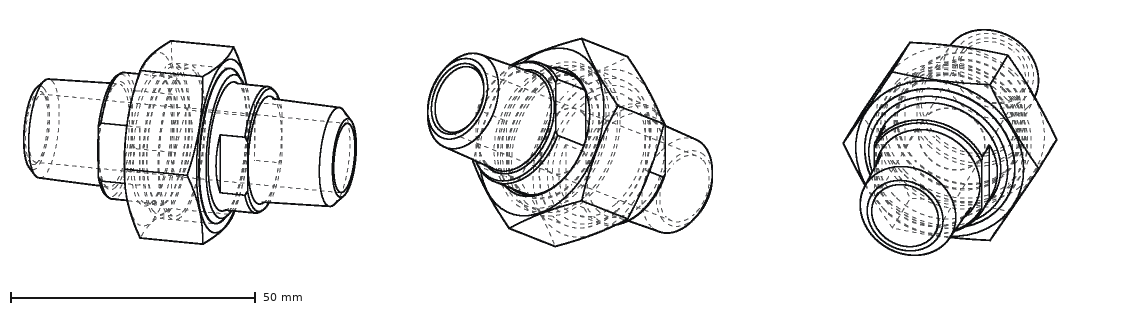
import cadquery as cq
import math

LENGTH = 66.0

NECK_TIP_R = 10.15
NECK_ROOT_R = 10.6
LEFT_TIP_CHAMFER = 1.6
RIGHT_TIP_CHAMFER = 2.1
LEFT_BORE_R = 14.0 / 2
RIGHT_BORE_R = 14.2 / 2
BORE_CHAMFER = 0.5

COLLAR_R = 26.0 / 2
COLLAR_CHAMFER_LENGTH = 0.6
COLLAR_CHAMFER_DEPTH = 0.4
LEFT_COLLAR_X = 16.9
RIGHT_COLLAR_X = 48.9
LEFT_NECK_ROOT_X = LEFT_COLLAR_X - 0.4
RIGHT_NECK_ROOT_X = RIGHT_COLLAR_X + 0.85
NECK_FLARE = 0.45
FLAT_HALF_WIDTH = 11.4
LEFT_FLAT_X = 25.75
RIGHT_FLAT_X = 43.0
FLAT_RUNOUT = 0.4
FLAT_CLEARANCE = 0.65

NUT_X = 24.5
NUT_END_X = 40.0
ACROSS_FLATS = 36.0
ACROSS_CORNERS = ACROSS_FLATS / math.cos(math.pi / 6)
NUT_FACE_R = 17.8
NUT_CHAMFER_LENGTH = 1.05
NUT_LIP_BORE_R = 26.5 / 2
NUT_LIP_CHAMFER = 0.45
NUT_LIP_THICKNESS = 3.3
LIP_END_X = NUT_X + NUT_LIP_THICKNESS

FLANGE_R = 30.35 / 2
FLANGE_THICKNESS = 3.3
JOINT_X = LIP_END_X + FLANGE_THICKNESS
THREAD_R = 31.9 / 2
SHOULDER_END_X = 41.05
SHOULDER_END_R = 29.5 / 2
SHOULDER_CHAMFER = THREAD_R - SHOULDER_END_R
COLLAR_FLARE_LENGTH = 0.8
COLLAR_FLARE_R = 26.5 / 2


def revolve_about_x(profile):
    """Turn a closed (x, radius) profile about the X axis."""
    return profile.close().revolve(360, (0, 0, 0), (1, 0, 0))


def flare_midpoint(tangent_end, raised_end):
    """Midpoint of an arc that is parallel to X at its tangent end."""
    dx = raised_end[0] - tangent_end[0]
    dr = raised_end[1] - tangent_end[1]
    radius = (dx**2 + dr**2) / (2 * dr)
    half_angle = math.atan2(dr, abs(dx))
    x = tangent_end[0] + math.copysign(radius * math.sin(half_angle), dx)
    return (x, tangent_end[1] + radius * (1 - math.cos(half_angle)))


def cut_wrench_flats(body, start_x, end_x):
    """Cut two flats at +Y and -Y, running from a sloped face at start_x to the open end_x."""
    outer_y = COLLAR_R + FLAT_CLEARANCE
    slope = math.copysign(FLAT_RUNOUT, end_x - start_x) / (COLLAR_R - FLAT_HALF_WIDTH)
    outer_start_x = start_x - slope * (outer_y - FLAT_HALF_WIDTH)
    for side in (-1, 1):
        waste = (
            cq.Workplane("XY")
            .moveTo(start_x, side * FLAT_HALF_WIDTH)
            .lineTo(end_x, side * FLAT_HALF_WIDTH)
            .lineTo(end_x, side * outer_y)
            .lineTo(outer_start_x, side * outer_y)
            .close()
            .extrude(COLLAR_R, both=True)
        )
        body = body.cut(waste)
    return body.solids()


def make_left_tailpiece():
    root = (LEFT_NECK_ROOT_X, NECK_ROOT_R)
    flare = (LEFT_COLLAR_X, NECK_ROOT_R + NECK_FLARE)
    profile = (
        cq.Workplane("XY")
        .moveTo(BORE_CHAMFER, LEFT_BORE_R)
        .lineTo(0, LEFT_BORE_R + BORE_CHAMFER)
        .lineTo(0, NECK_TIP_R - LEFT_TIP_CHAMFER)
        .lineTo(LEFT_TIP_CHAMFER, NECK_TIP_R)
        .lineTo(*root)
        .lineTo(*flare)
        .lineTo(LEFT_COLLAR_X, COLLAR_R - COLLAR_CHAMFER_DEPTH)
        .lineTo(LEFT_COLLAR_X + COLLAR_CHAMFER_LENGTH, COLLAR_R)
        .lineTo(LIP_END_X, COLLAR_R)
        .lineTo(LIP_END_X, FLANGE_R)
        .lineTo(JOINT_X, FLANGE_R)
        .lineTo(JOINT_X, LEFT_BORE_R)
    )
    return cut_wrench_flats(revolve_about_x(profile), LEFT_FLAT_X, LEFT_COLLAR_X)


def make_right_body():
    collar_start = (SHOULDER_END_X + COLLAR_FLARE_LENGTH, COLLAR_R)
    collar_flare = (SHOULDER_END_X, COLLAR_FLARE_R)
    root = (RIGHT_NECK_ROOT_X, NECK_ROOT_R)
    neck_flare = (RIGHT_COLLAR_X, NECK_ROOT_R + NECK_FLARE)
    profile = (
        cq.Workplane("XY")
        .moveTo(JOINT_X, RIGHT_BORE_R)
        .lineTo(JOINT_X, THREAD_R)
        .lineTo(SHOULDER_END_X - SHOULDER_CHAMFER, THREAD_R)
        .lineTo(SHOULDER_END_X, SHOULDER_END_R)
        .lineTo(*collar_flare)
        .threePointArc(flare_midpoint(collar_start, collar_flare), collar_start)
        .lineTo(RIGHT_COLLAR_X - COLLAR_CHAMFER_LENGTH, COLLAR_R)
        .lineTo(RIGHT_COLLAR_X, COLLAR_R - COLLAR_CHAMFER_DEPTH)
        .lineTo(*neck_flare)
        .threePointArc(flare_midpoint(root, neck_flare), root)
        .lineTo(LENGTH - RIGHT_TIP_CHAMFER, NECK_TIP_R)
        .lineTo(LENGTH, NECK_TIP_R - RIGHT_TIP_CHAMFER)
        .lineTo(LENGTH, RIGHT_BORE_R)
    )
    return cut_wrench_flats(revolve_about_x(profile), RIGHT_FLAT_X, RIGHT_COLLAR_X)


def make_nut():
    hexagon = (
        cq.Workplane("YZ", origin=(NUT_X, 0, 0))
        .polygon(6, ACROSS_CORNERS)
        .extrude(NUT_END_X - NUT_X)
    )
    corner_r = ACROSS_CORNERS / 2
    envelope = (
        cq.Workplane("XY")
        .moveTo(NUT_X, NUT_LIP_BORE_R + NUT_LIP_CHAMFER)
        .lineTo(NUT_X, NUT_FACE_R)
        .lineTo(NUT_X + NUT_CHAMFER_LENGTH, corner_r)
        .lineTo(NUT_END_X - NUT_CHAMFER_LENGTH, corner_r)
        .lineTo(NUT_END_X, NUT_FACE_R)
        .lineTo(NUT_END_X, THREAD_R)
        .lineTo(LIP_END_X, THREAD_R)
        .lineTo(LIP_END_X, NUT_LIP_BORE_R)
        .lineTo(NUT_X + NUT_LIP_CHAMFER, NUT_LIP_BORE_R)
    )
    return hexagon.intersect(revolve_about_x(envelope)).solids()


left_tailpiece = make_left_tailpiece()
nut = make_nut()
right_body = make_right_body()

result = cq.Compound.makeCompound([left_tailpiece.val(), nut.val(), right_body.val()])